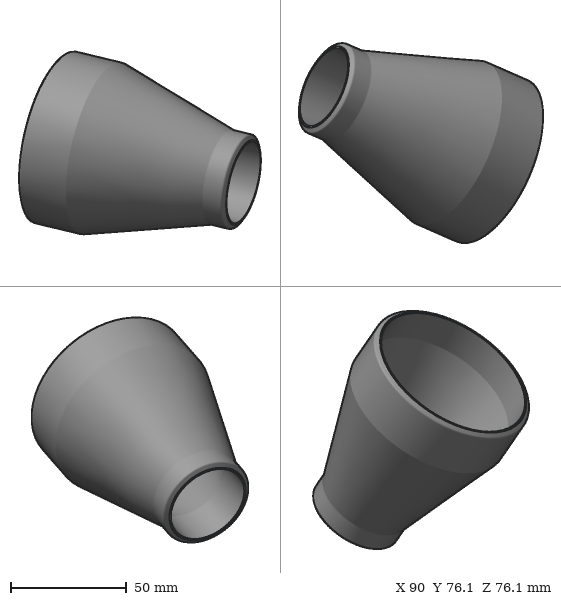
import cadquery as cq
import math

length = 90.0
large_diameter = 76.1
large_bore = 70.3
small_diameter = 42.0
small_bore = 36.0
large_collar_length = 23.0
small_collar_length = 10.2
large_bore_depth = 15.1
small_bore_depth = 18.0

bevel_length = 1.3
bevel_angle = 30.0
bevel_round = 1.0

collar_blend = 1.3

bevel_depth = bevel_length / math.tan(math.radians(bevel_angle))


def revolved(profile):
    """Revolve a closed profile, drawn as X against radius, about the X axis."""
    return profile.close().revolve(360, (0, 0, 0), (1, 0, 0))


def reducer_solid(large_radius, large_end_length, small_radius, small_end_length):
    """Two coaxial cylinders joined by a straight cone."""
    profile = (
        cq.Workplane("XY")
        .lineTo(0, large_radius)
        .lineTo(large_end_length, large_radius)
        .lineTo(length - small_end_length, small_radius)
        .lineTo(length, small_radius)
        .lineTo(length, 0)
    )
    return revolved(profile)


def bevel_cutter(end_x, inward, outer_radius):
    """Ring that bevels a rim; inward is the X direction into the part."""
    corner_x = end_x + inward * bevel_length
    face_radius = outer_radius - bevel_depth
    turn = math.radians(90 - bevel_angle)
    tangent_length = bevel_round * math.tan(turn / 2)
    round_start = (
        corner_x - inward * tangent_length * math.cos(turn),
        outer_radius - tangent_length * math.sin(turn),
    )
    round_end_x = corner_x + inward * tangent_length
    round_middle = (
        round_end_x - inward * bevel_round * math.sin(turn / 2),
        outer_radius - bevel_round * (1 - math.cos(turn / 2)),
    )
    clear_radius = outer_radius + bevel_depth
    profile = (
        cq.Workplane("XY")
        .moveTo(end_x, face_radius)
        .lineTo(*round_start)
        .threePointArc(round_middle, (round_end_x, outer_radius))
        .lineTo(round_end_x, clear_radius)
        .lineTo(end_x, clear_radius)
    )
    return revolved(profile)


body = reducer_solid(
    large_diameter / 2, large_collar_length, small_diameter / 2, small_collar_length
)
collar_center = (length - small_collar_length, 0, 0)
collar_edge = body.edges("%CIRCLE").edges(cq.NearestToPointSelector(collar_center))
body = collar_edge.fillet(collar_blend)
bore = reducer_solid(large_bore / 2, large_bore_depth, small_bore / 2, small_bore_depth)
result = (
    body.cut(bore)
    .cut(bevel_cutter(0, 1, large_diameter / 2))
    .cut(bevel_cutter(length, -1, small_diameter / 2))
)